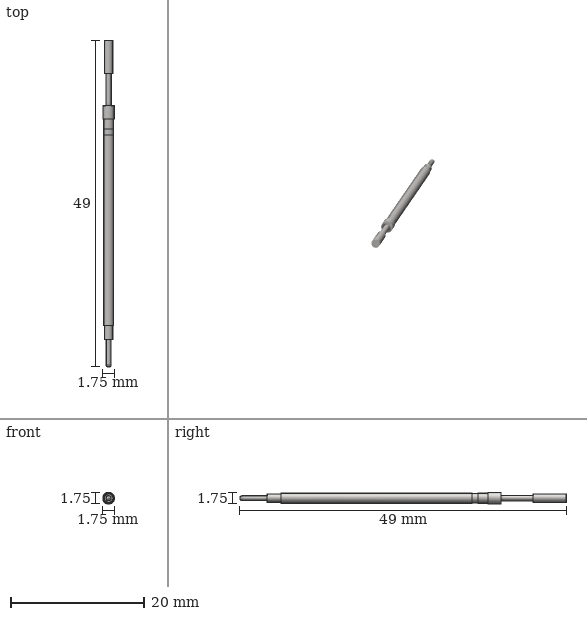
import cadquery as cq

TOTAL_LENGTH = 49.0

PLUNGER_DIAMETER = 0.75
NOSE_DIAMETER = 1.27
BARREL_DIAMETER = 1.52
BAND_DIAMETER = 1.49
COLLAR_DIAMETER = 1.75
STEM_DIAMETER = 0.85
TAIL_DIAMETER = 1.3

TIP_RADIUS = 0.35

PLUNGER_END = 4.1
NOSE_END = 6.2
BARREL_END = 34.8
BAND_END = 35.7
NECK_END = 37.2
COLLAR_END = 39.2
STEM_END = 44.0

SECTIONS = [
    (PLUNGER_DIAMETER, PLUNGER_END),
    (NOSE_DIAMETER, NOSE_END),
    (BARREL_DIAMETER, BARREL_END),
    (BAND_DIAMETER, BAND_END),
    (BARREL_DIAMETER, NECK_END),
    (COLLAR_DIAMETER, COLLAR_END),
    (STEM_DIAMETER, STEM_END),
    (TAIL_DIAMETER, TOTAL_LENGTH),
]


def round_section(diameter, start, end):
    """A cylinder on the Y axis from Y = start to Y = end."""
    return (
        cq.Workplane("XZ", origin=(0, start, 0))
        .circle(diameter / 2)
        .extrude(start - end)
    )


def stepped_body():
    """All the round sections joined into one stepped pin."""
    body = cq.Workplane("XZ")
    start = 0
    for diameter, end in SECTIONS:
        body = body.union(round_section(diameter, start, end))
        start = end
    return body


def round_tip(body):
    """Round the free end of the plunger."""
    return body.faces("<Y").edges().fillet(TIP_RADIUS)


result = round_tip(stepped_body())